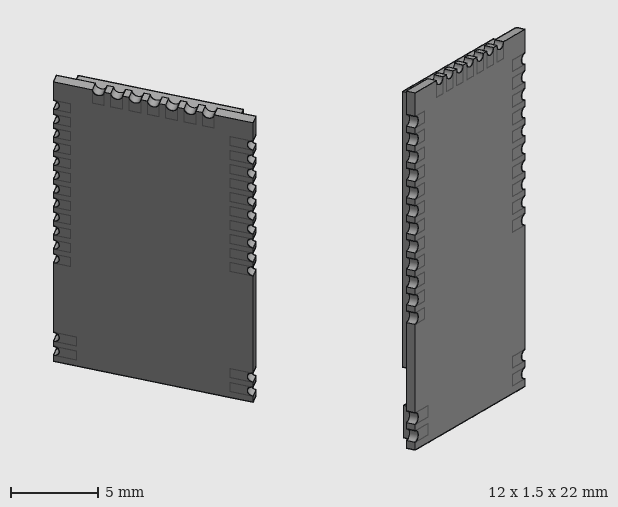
import cadquery as cq

BOARD_WIDTH = 12.0
BOARD_HEIGHT = 22.0
TOTAL_THICKNESS = 1.5

SHIELD_SIDE_MARGIN = 1.03
SHIELD_TOP_MARGIN = 0.55
SHIELD_HEIGHT = 16.98
SHIELD_THICKNESS = 0.9

BLOCK_BOTTOM_MARGIN = 0.13
BLOCK_HEIGHT = 2.0
BLOCK_THICKNESS = 0.84

PAD_PITCH = 1.1
PAD_THICKNESS = 0.05
NOTCH_RADIUS = 0.35
PAD_WIDTH = 2 * NOTCH_RADIUS
SHORT_PAD_LENGTH = 1.03
LONG_PAD_LENGTH = 1.39
TOP_PAD_COUNT = 7
LEFT_PAD_COUNT = 12
RIGHT_PAD_COUNT = 10
LOWER_PAD_COUNT = 2
FIRST_SIDE_PAD_DROP = 1.8
LOWEST_SIDE_PAD_RISE = 0.84

BOARD_BACK = TOTAL_THICKNESS - SHIELD_THICKNESS
RIGHT_EDGE = BOARD_WIDTH / 2
LEFT_EDGE = -RIGHT_EDGE
TOP_EDGE = BOARD_HEIGHT / 2
BOTTOM_EDGE = -TOP_EDGE
PAD_Y = (0, PAD_THICKNESS)
SHIELD_WIDTH = BOARD_WIDTH - 2 * SHIELD_SIDE_MARGIN


def box_between(x_range, y_range, z_range):
    """Box spanning the given (low, high) range on each axis."""
    spans = [high - low for low, high in (x_range, y_range, z_range)]
    corner = (x_range[0], y_range[0], z_range[0])
    return cq.Workplane("XY").box(*spans, centered=False).translate(corner)


def centred_range(middle, span):
    return (middle - span / 2, middle + span / 2)


def spaced(first, count, step):
    """Evenly spaced positions starting at first."""
    return [first + index * step for index in range(count)]


def notch(x, z):
    """Round cutter through the board and pads along Y."""
    through = cq.Workplane("XZ", origin=(x, 0, z)).circle(NOTCH_RADIUS)
    return through.extrude(-BOARD_BACK)


def left_pad(z, length):
    x_range = (LEFT_EDGE, LEFT_EDGE + length)
    return box_between(x_range, PAD_Y, centred_range(z, PAD_WIDTH))


def right_pad(z, length):
    x_range = (RIGHT_EDGE - length, RIGHT_EDGE)
    return box_between(x_range, PAD_Y, centred_range(z, PAD_WIDTH))


def top_pad(x, length):
    z_range = (TOP_EDGE - length, TOP_EDGE)
    return box_between(centred_range(x, PAD_WIDTH), PAD_Y, z_range)


def cut_all(body, cutters):
    """Body with every cutter removed from it."""
    for cutter in cutters:
        body = body.cut(cutter)
    return body


first_side_z = TOP_EDGE - FIRST_SIDE_PAD_DROP
lowest_side_z = BOTTOM_EDGE + LOWEST_SIDE_PAD_RISE
left_column = spaced(first_side_z, LEFT_PAD_COUNT, -PAD_PITCH)
right_column = spaced(first_side_z, RIGHT_PAD_COUNT, -PAD_PITCH)
lower_pair = spaced(lowest_side_z, LOWER_PAD_COUNT, PAD_PITCH)
first_top_x = -(TOP_PAD_COUNT - 1) * PAD_PITCH / 2
top_row = spaced(first_top_x, TOP_PAD_COUNT, PAD_PITCH)

notches = [notch(LEFT_EDGE, z) for z in left_column + lower_pair]
notches += [notch(RIGHT_EDGE, z) for z in right_column + lower_pair]
notches += [notch(x, TOP_EDGE) for x in top_row]

pad_blanks = [left_pad(z, SHORT_PAD_LENGTH) for z in left_column]
pad_blanks += [left_pad(z, LONG_PAD_LENGTH) for z in lower_pair]
pad_blanks += [right_pad(z, LONG_PAD_LENGTH) for z in right_column + lower_pair]
pad_blanks += [top_pad(x, SHORT_PAD_LENGTH) for x in top_row]
pads = cq.Workplane("XY")
for blank in pad_blanks:
    pads = pads.add(blank)
pads = cut_all(pads.combine(), notches)

board = box_between((LEFT_EDGE, RIGHT_EDGE), (0, BOARD_BACK), (BOTTOM_EDGE, TOP_EDGE))
board = cut_all(board, notches)

shield_x = centred_range(0, SHIELD_WIDTH)
shield_top = TOP_EDGE - SHIELD_TOP_MARGIN
shield_z = (shield_top - SHIELD_HEIGHT, shield_top)
board = board.union(box_between(shield_x, (BOARD_BACK, TOTAL_THICKNESS), shield_z))

block_bottom = BOTTOM_EDGE + BLOCK_BOTTOM_MARGIN
block_y = (BOARD_BACK, BOARD_BACK + BLOCK_THICKNESS)
block_z = (block_bottom, block_bottom + BLOCK_HEIGHT)
board = board.union(box_between(shield_x, block_y, block_z))

result = board.cut(pads).union(pads, clean=False)